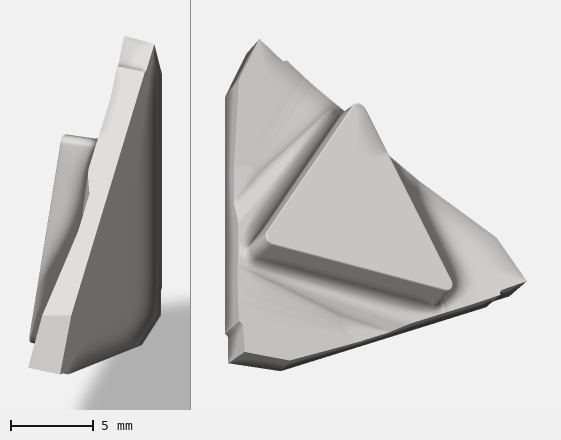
import cadquery as cq
import math

CORNERS = 3
CORNER_STEP = 360 / CORNERS
COS_SIDE = math.cos(math.pi / (2 * CORNERS))
SIN_SIDE = math.sin(math.pi / (2 * CORNERS))

OVERALL_LENGTH = 21.95
TOTAL_HEIGHT = 4.0
EDGE_HEIGHT = 2.0
LAND_HEIGHT = 1.62
FLOOR_HEIGHT = 1.12
SIDE_DISTANCE = 7.1
MARGIN = 2.2

TIP_U = -6.85
TIP_V = -(OVERALL_LENGTH + TIP_U * COS_SIDE) / (1 + SIN_SIDE)
EDGE_ANGLE = 6.5
RELIEF_ANGLE = 5.0
TIP_SHIFT_ANGLE = 105.0
NOTCH_TOP_V = -8.53
NOTCH_LENGTH = 0.33

RAKE_SLOPE_U = 0.065
RAKE_ANGLE_V = 5.9
RAKE_SLOPE_V = math.tan(math.radians(RAKE_ANGLE_V))
CREASE_V = -6.7
CREASE_BLEND = 0.35

RAMP_U = 0.26
RAMP_V = -5.85
RAMP_SLOPE = 0.65
RAMP_TURN = -4.5
RAMP_BLEND = 0.18
FOOT_BLEND = 0.07

BOSS_DISTANCE = 4.04
BOSS_CORNER_RADIUS = 0.53
BOSS_DRAFT = 2.0
BOSS_TOP_RADIUS = 0.09
BOSS_BASE_RADIUS = 0.44


def turned(point, corner):
    """Point of the lowest corner, turned to another corner."""
    angle = math.radians(corner * CORNER_STEP)
    u, v = point
    return (u * math.cos(angle) - v * math.sin(angle), u * math.sin(angle) + v * math.cos(angle))


def on_next_side(tip):
    """Point where the cutting edge through the tip meets the lower right side."""
    rise = math.tan(math.radians(EDGE_ANGLE))
    gap = SIDE_DISTANCE - SIN_SIDE * tip[0] + COS_SIDE * tip[1]
    run = gap / (SIN_SIDE - COS_SIDE * rise)
    return (tip[0] + run, tip[1] + run * rise)


def outline(height, tip):
    """Closed outline of the plate at one height, for the given place of the cutting point."""
    notch_depth = tip[0] + SIDE_DISTANCE
    notch_start = (-SIDE_DISTANCE, NOTCH_TOP_V)
    notch_end = (tip[0], NOTCH_TOP_V - NOTCH_LENGTH)
    bow = math.sin(math.radians(45))
    notch_middle = (-SIDE_DISTANCE + notch_depth * bow, NOTCH_TOP_V - NOTCH_LENGTH * (1 - bow))
    side_end = on_next_side(tip)
    wire = cq.Workplane("XY", origin=(0, 0, height)).moveTo(*turned(side_end, CORNERS - 1))
    for corner in range(CORNERS):
        wire = wire.lineTo(*turned(notch_start, corner))
        wire = wire.threePointArc(turned(notch_middle, corner), turned(notch_end, corner))
        wire = wire.lineTo(*turned(tip, corner))
        wire = wire.lineTo(*turned(side_end, corner))
    return wire.close().val()


def make_blank():
    """Full plate with its relieved corners."""
    edge_normal = EDGE_ANGLE - 90
    lean = math.radians(TIP_SHIFT_ANGLE - edge_normal)
    shift = -EDGE_HEIGHT * math.tan(math.radians(RELIEF_ANGLE)) / math.cos(lean)
    direction = math.radians(TIP_SHIFT_ANGLE)
    back_tip = (TIP_U + shift * math.cos(direction), TIP_V + shift * math.sin(direction))
    wires = [outline(0, back_tip), outline(EDGE_HEIGHT, (TIP_U, TIP_V))]
    return cq.Workplane(cq.Solid.makeLoft(wires, True))


def make_triangle(distance, height):
    """Upright triangular prism whose sides lie at the given distance from the centre."""
    point_radius = distance / SIN_SIDE
    prism = cq.Workplane("XY").polygon(CORNERS, 2 * point_radius).extrude(height)
    return prism.rotate((0, 0, 0), (0, 0, 1), 90)


def make_rounded_triangle(distance, corner_radius, height):
    """Triangular prism with rounded corners."""
    return make_triangle(distance, height).edges("|Z").fillet(corner_radius)


def make_rake():
    """Body below the two rake faces, running downhill along u."""
    start_u = -SIDE_DISTANCE - MARGIN
    start_h = EDGE_HEIGHT + RAKE_SLOPE_U * (TIP_U - start_u)
    outer_v = TIP_V - MARGIN
    inner_h = start_h - RAKE_SLOPE_V * (CREASE_V - TIP_V)
    profile = (
        cq.Workplane("YZ", origin=(start_u, 0, 0))
        .moveTo(outer_v, start_h + RAKE_SLOPE_V * MARGIN)
        .lineTo(CREASE_V - CREASE_BLEND, inner_h + RAKE_SLOPE_V * CREASE_BLEND)
        .tangentArcPoint((CREASE_V + CREASE_BLEND, inner_h), relative=False)
        .lineTo(0, inner_h)
        .lineTo(0, -EDGE_HEIGHT)
        .lineTo(outer_v, -EDGE_HEIGHT)
        .close()
    )
    length = 3 * SIDE_DISTANCE
    downhill = cq.Vector(length, 0, -RAKE_SLOPE_U * length)
    return cq.Workplane(cq.Solid.extrudeLinear(profile.val(), [], downhill))


def make_ramp():
    """Body below the ramp and the land, as one long bar."""
    length = 4 * SIDE_DISTANCE
    rise = LAND_HEIGHT - FLOOR_HEIGHT
    width = rise / RAMP_SLOPE
    return (
        cq.Workplane("YZ", origin=(-length / 2, 0, 0))
        .moveTo(-2 * FOOT_BLEND, 0)
        .lineTo(-2 * FOOT_BLEND, FLOOR_HEIGHT)
        .lineTo(-FOOT_BLEND, FLOOR_HEIGHT)
        .tangentArcPoint((FOOT_BLEND, FLOOR_HEIGHT + RAMP_SLOPE * FOOT_BLEND), relative=False)
        .lineTo(width - RAMP_BLEND, LAND_HEIGHT - RAMP_SLOPE * RAMP_BLEND)
        .tangentArcPoint((width + RAMP_BLEND, LAND_HEIGHT), relative=False)
        .lineTo(SIDE_DISTANCE, LAND_HEIGHT)
        .lineTo(SIDE_DISTANCE, 0)
        .close()
        .extrude(length)
        .rotate((0, 0, 0), (0, 0, 1), RAMP_TURN)
        .translate((RAMP_U, RAMP_V, 0))
    )


def make_floor():
    """Slab below the lowest level of the chip grooves."""
    return cq.Workplane("XY").circle(3 * SIDE_DISTANCE).extrude(FLOOR_HEIGHT)


def make_corner():
    """Groove and rake faces below the lower side of the boss."""
    sector = cq.Workplane("XY").box(
        6 * SIDE_DISTANCE, 2 * SIDE_DISTANCE, 2 * EDGE_HEIGHT, centered=(True, False, True)
    ).translate((0, -2 * SIDE_DISTANCE - BOSS_DISTANCE, 0))
    return make_rake().union(make_ramp()).intersect(sector)


def make_boss():
    """Drafted triangular boss with its flared foot."""
    rise = TOTAL_HEIGHT - LAND_HEIGHT
    inset = rise * math.tan(math.radians(BOSS_DRAFT))
    base = make_rounded_triangle(BOSS_DISTANCE, BOSS_CORNER_RADIUS, LAND_HEIGHT)
    top = make_rounded_triangle(BOSS_DISTANCE - inset, BOSS_CORNER_RADIUS, TOTAL_HEIGHT)
    sections = [prism.faces(">Z").wires().val() for prism in (base, top)]
    boss = cq.Workplane(cq.Solid.makeLoft(sections, True)).faces(">Z").edges().fillet(BOSS_TOP_RADIUS)

    land = make_triangle(2 * BOSS_DISTANCE, LAND_HEIGHT)
    reach = BOSS_DISTANCE / SIN_SIDE
    around_foot = cq.selectors.BoxSelector(
        (-reach, -BOSS_DISTANCE - BOSS_BASE_RADIUS, LAND_HEIGHT - BOSS_TOP_RADIUS),
        (reach, reach, LAND_HEIGHT + BOSS_TOP_RADIUS),
    )
    body = land.union(boss).edges(around_foot).fillet(BOSS_BASE_RADIUS)
    trim = make_rounded_triangle(
        BOSS_DISTANCE + BOSS_BASE_RADIUS, BOSS_CORNER_RADIUS + BOSS_BASE_RADIUS, TOTAL_HEIGHT
    )
    return body.intersect(trim)


top_form = make_floor()
corner_form = make_corner()
for corner in range(CORNERS):
    top_form = top_form.union(corner_form.rotate((0, 0, 0), (0, 0, 1), corner * CORNER_STEP))
insert = make_blank().intersect(top_form).union(make_boss())

upright = cq.Plane(origin=(0, 0, 0), xDir=(0, -1, 0), normal=(-1, 0, 0))
result = cq.Workplane(insert.val().moved(cq.Location(upright)))